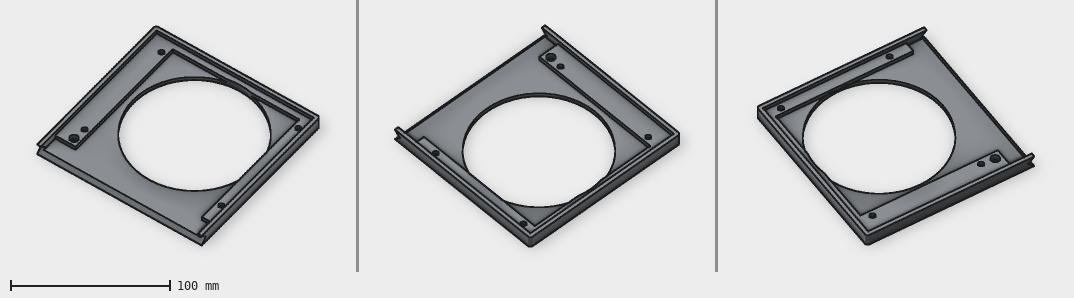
import cadquery as cq

width = 129.0
depth = 125.0
height = 9.0
corner_radius = 2.0

wall = 3.0
floor_top = 3.1
groove_depth = 4.5

ledge_top = 6.0
ledge_front = 15.1
ledge_inner_left = 19.0
ledge_inner_right = 118.0
ledge_inner_back = 117.5

opening_diameter = 96.0
opening_x = 71.0
opening_y = 70.5
screw_diameter = 4.0
screw_xs = (14.8, 122.0)
screw_ys = (30.2, 111.2)
cable_diameter = 6.0
cable_x = 13.9
cable_y = 20.3


def block(x_min, x_max, y_min, y_max, z_min, z_max):
    """Axis-aligned block between the given limits."""
    size = (x_max - x_min, y_max - y_min, z_max - z_min)
    return cq.Workplane("XY").box(*size, centered=False).translate((x_min, y_min, z_min))


def vertical_cylinder(x, y, diameter):
    """Cylinder through the full height of the plate."""
    return cq.Workplane("XY").center(x, y).circle(diameter / 2).extrude(height)


def make_tray():
    """Plate with rounded back corners, hollowed down to the floor."""
    plate = block(0, width, 0, depth, 0, height).edges("|Z and >Y").fillet(corner_radius)
    return plate.cut(block(wall, width - wall, 0, depth - wall, floor_top, height))


def make_left_and_back_ledge():
    """L-shaped part of the ledge, which the large opening cuts into."""
    left = block(wall, ledge_inner_left, ledge_front, depth - wall, floor_top, ledge_top)
    back = block(wall, width - wall, ledge_inner_back, depth - wall, floor_top, ledge_top)
    return left.union(back)


def make_right_ledge():
    """Straight part of the ledge, which slightly overhangs the large opening."""
    return block(ledge_inner_right, width - wall, ledge_front, depth - wall, floor_top, ledge_top)


def make_front_groove():
    """V-shaped cutter along the whole front face, deepest at mid height."""
    profile = [(0, 0), (groove_depth, height / 2), (0, height)]
    return cq.Workplane("YZ").polyline(profile).close().extrude(width)


result = make_tray().union(make_left_and_back_ledge())
result = result.cut(vertical_cylinder(opening_x, opening_y, opening_diameter))
result = result.union(make_right_ledge())
result = result.cut(make_front_groove())

for screw_x in screw_xs:
    for screw_y in screw_ys:
        result = result.cut(vertical_cylinder(screw_x, screw_y, screw_diameter))

result = result.cut(vertical_cylinder(cable_x, cable_y, cable_diameter))